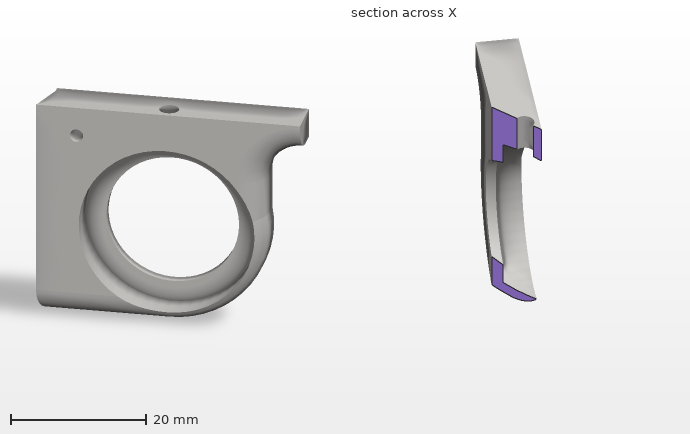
import cadquery as cq
import math

height = 34.0
length = 38.0
thickness = 6.5
plate_angle = 45.0

land_depth = 1.0
lean = 1.85

ring_radius = 15.0
ring_center = 17.78
neck_radius = 5.5
arm_height = 4.5
edge_radius = 4.0

bore_diameter = 20.0
counterbore_diameter = 26.4
counterbore_floor = 1.5
pin_diameter = 2.0
pin_along = 4.25
pin_height = 29.5
top_hole_diameter = 3.0
top_hole_from_back = 4.2

diagonal = math.sqrt(2)


def plate_blank():
    """Plate with a ring-shaped lower corner, a concave neck and an arm at the top."""
    neck_edge = length - neck_radius
    arm_bottom = height - arm_height
    neck_bottom = arm_bottom - neck_radius
    ring_join = ring_radius + math.sqrt(ring_radius**2 - (neck_edge - ring_center) ** 2)
    ring_mid = (
        ring_center + ring_radius / diagonal,
        ring_radius - ring_radius / diagonal,
    )
    neck_mid = (
        length - neck_radius / diagonal,
        neck_bottom + neck_radius / diagonal,
    )
    return (
        cq.Workplane("XY")
        .moveTo(-lean, height)
        .lineTo(-lean, 0)
        .lineTo(ring_center, 0)
        .threePointArc(ring_mid, (neck_edge, ring_join))
        .lineTo(neck_edge, neck_bottom)
        .threePointArc(neck_mid, (length, arm_bottom))
        .lineTo(length, height)
        .close()
        .extrude(thickness)
    )


def round_front_edge(plate):
    """Round the front edge along the bottom, ring and neck; the top and both ends stay sharp."""
    front = plate.faces(">Z").edges("not (>Y or <X or >X)")
    return front.fillet(edge_radius)


def end_trim():
    """Wedge between the square blank end and the slanted end face."""
    return (
        cq.Workplane("XZ")
        .polyline([(-lean, 0), (0, 0), (0, land_depth), (-lean, thickness)])
        .close()
        .extrude(-height)
    )


def cylinder(along, up, bottom, diameter):
    """Cylinder square to the plate, from the given depth out through the front face."""
    return (
        cq.Workplane("XY", origin=(along, up, bottom))
        .circle(diameter / 2)
        .extrude(thickness - bottom)
    )


def top_hole():
    """Hole from the top edge down into the counterbore."""
    return (
        cq.Workplane("XZ", origin=(ring_center, height, top_hole_from_back))
        .circle(top_hole_diameter / 2)
        .extrude(height - ring_radius)
    )


plate = round_front_edge(plate_blank()).cut(end_trim())
plate = plate.cut(cylinder(ring_center, ring_radius, 0, bore_diameter))
plate = plate.cut(cylinder(ring_center, ring_radius, counterbore_floor, counterbore_diameter))
plate = plate.cut(cylinder(pin_along, pin_height, 0, pin_diameter))
plate = plate.cut(top_hole())

result = plate.rotate((0, 0, 0), (1, 0, 0), 90).rotate((0, 0, 0), (0, 0, 1), plate_angle)